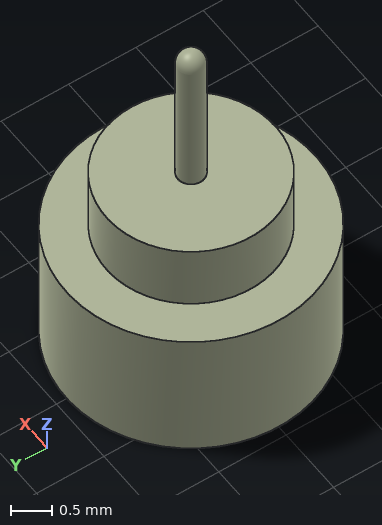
import cadquery as cq

base_diameter = 3.7
base_height = 2.05
collar_diameter = 2.5
collar_height = 1.0
insulator_diameter = 1.95
pin_diameter = 0.39
overall_height = 5.35

collar_top = base_height + collar_height
pin_radius = pin_diameter / 2
tip_center_height = overall_height - pin_radius


def make_cylinder(diameter, bottom, top):
    """Upright cylinder on the Z axis between two heights."""
    return cq.Workplane("XY").workplane(offset=bottom).circle(diameter / 2).extrude(top - bottom)


def make_pin():
    """Round pin standing on the insulator, with a hemispherical tip."""
    shank = make_cylinder(pin_diameter, collar_top, tip_center_height)
    tip = cq.Workplane("XY").sphere(pin_radius).translate((0, 0, tip_center_height))
    return shank.union(tip)


base = make_cylinder(base_diameter, 0, base_height)
insulator = make_cylinder(insulator_diameter, base_height, collar_top)
collar = make_cylinder(collar_diameter, base_height, collar_top).cut(insulator)

result = base
for piece in (collar, insulator, make_pin()):
    result = result.union(piece, clean=False)